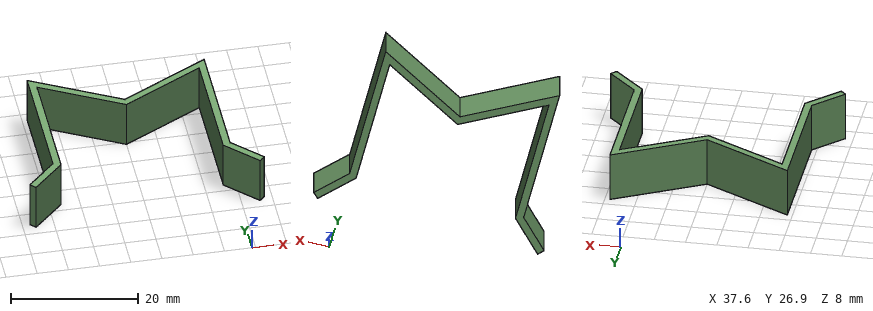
import cadquery as cq
import math

overall_width = 37.6
overall_depth = 26.95
strip_height = 8.0
strip_thickness = 1.2
body_width = 28.4
valley_depth = 7.65
leg_angle = math.radians(45)

half_body = body_width / 2
half_width = overall_width / 2
end_offset_x = strip_thickness * math.cos(leg_angle)
end_offset_y = strip_thickness * math.sin(leg_angle)
tip_y = end_offset_y - overall_depth
bend_y = tip_y + (half_width - half_body) / math.tan(leg_angle)

half_inner = half_body - strip_thickness
valley_slope = math.atan2(valley_depth, half_body)
inner_valley_y = -valley_depth - strip_thickness / math.cos(valley_slope)
inner_peak_y = inner_valley_y + half_inner * math.tan(valley_slope)
inner_bend_y = bend_y - strip_thickness * math.tan(leg_angle / 2)

right_half = [
    (0, -valley_depth),
    (half_body, 0),
    (half_body, bend_y),
    (half_width, tip_y),
    (half_width - end_offset_x, tip_y - end_offset_y),
    (half_inner, inner_bend_y),
    (half_inner, inner_peak_y),
    (0, inner_valley_y),
]
left_half = [(-x, y) for x, y in reversed(right_half[1:-1])]

result = cq.Workplane("XY").polyline(right_half + left_half).close().extrude(strip_height)